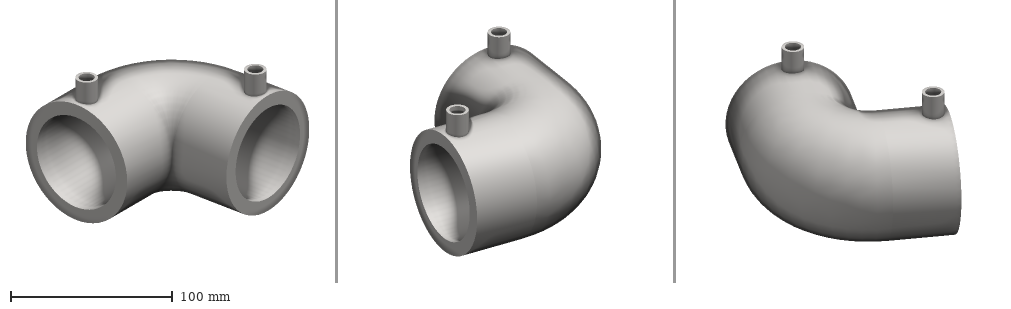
import cadquery as cq

outer_diameter = 81.0
bore_diameter = 63.0
overall_length = 124.5
leg_length = 43.0
outer_radius = outer_diameter / 2
bore_radius = bore_diameter / 2
bend_radius = overall_length - leg_length - outer_radius

overall_height = 96.0
post_diameter = 14.0
post_bore_diameter = 10.0
post_end_distance = 10.0
post_top = overall_height - outer_radius
post_root = (outer_radius + bore_radius) / 2
post_axis_offset = leg_length - post_end_distance
post_centres = [(-bend_radius, -post_axis_offset), (post_axis_offset, bend_radius)]


def elbow_pipe():
    """Pipe ring swept along the leg, quarter bend and leg centreline."""
    centreline = (
        cq.Workplane("XY")
        .moveTo(-bend_radius, -leg_length)
        .lineTo(-bend_radius, 0)
        .radiusArc((0, bend_radius), bend_radius)
        .lineTo(leg_length, bend_radius)
    )
    section = (
        cq.Workplane("XZ", origin=(-bend_radius, -leg_length, 0))
        .circle(outer_radius)
        .circle(bore_radius)
    )
    return section.sweep(centreline)


def posts():
    """Tubular posts, one near the open end of each leg."""
    return (
        cq.Workplane("XY", origin=(0, 0, post_root))
        .pushPoints(post_centres)
        .circle(post_diameter / 2)
        .circle(post_bore_diameter / 2)
        .extrude(post_top - post_root)
    )


result = elbow_pipe().union(posts())